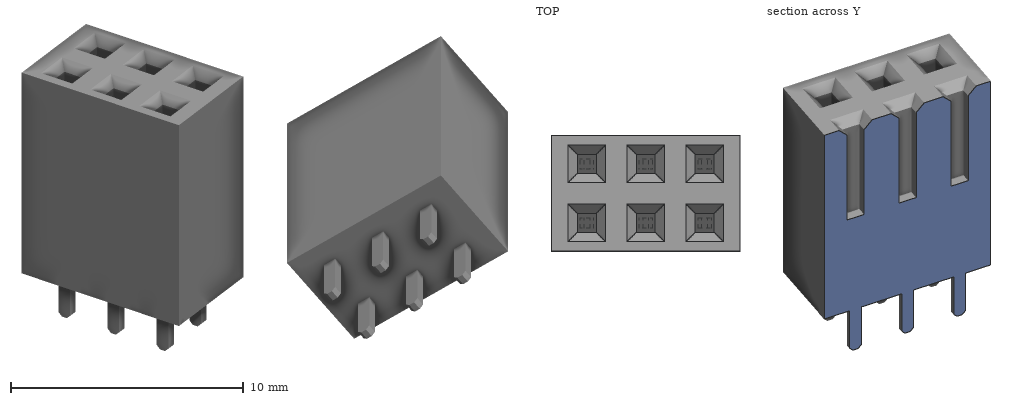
import cadquery as cq

total_height = 12.2
housing_length = 8.13
housing_width = 5.0
housing_height = 10.0
pin_length = total_height - housing_height

columns = 3
rows = 2
pitch = 2.54

mouth_size = 1.61
bore_size = 0.82
lead_in_depth = (mouth_size - bore_size) / 2
socket_depth = housing_height / 2
bore_depth = socket_depth - lead_in_depth

pin_width = 0.6
pin_thickness = 0.43
tip_chamfer = 0.17


def make_socket():
    """Socket cavity with its mouth at Z = 0, opening upward."""
    lead_in = (
        cq.Workplane("XY")
        .rect(mouth_size, mouth_size)
        .workplane(offset=-lead_in_depth)
        .rect(bore_size, bore_size)
        .loft(ruled=True)
    )
    bore = (
        cq.Workplane("XY")
        .workplane(offset=-lead_in_depth)
        .rect(bore_size, bore_size)
        .extrude(-bore_depth)
    )
    return lead_in.union(bore)


def make_pin():
    """Pin blade with its root at Z = 0, pointing downward."""
    blade = cq.Workplane("XY").rect(pin_width, pin_thickness).extrude(-pin_length)
    return blade.faces("<Z").edges("|Y").chamfer(tip_chamfer)


def place_on_grid(shape, height):
    """Copies of a shape at every contact position, raised to the given height."""
    grid = cq.Workplane("XY").workplane(offset=height).rarray(pitch, pitch, columns, rows)
    return grid.eachpoint(lambda place: shape.val().moved(place), combine=False)


housing = cq.Workplane("XY").box(
    housing_length, housing_width, housing_height, centered=(True, True, False)
)
sockets = place_on_grid(make_socket(), housing_height)
pins = place_on_grid(make_pin(), 0)

result = housing
for socket in sockets.vals():
    result = result.cut(cq.Workplane(socket))
for pin in pins.vals():
    result = result.union(cq.Workplane(pin))